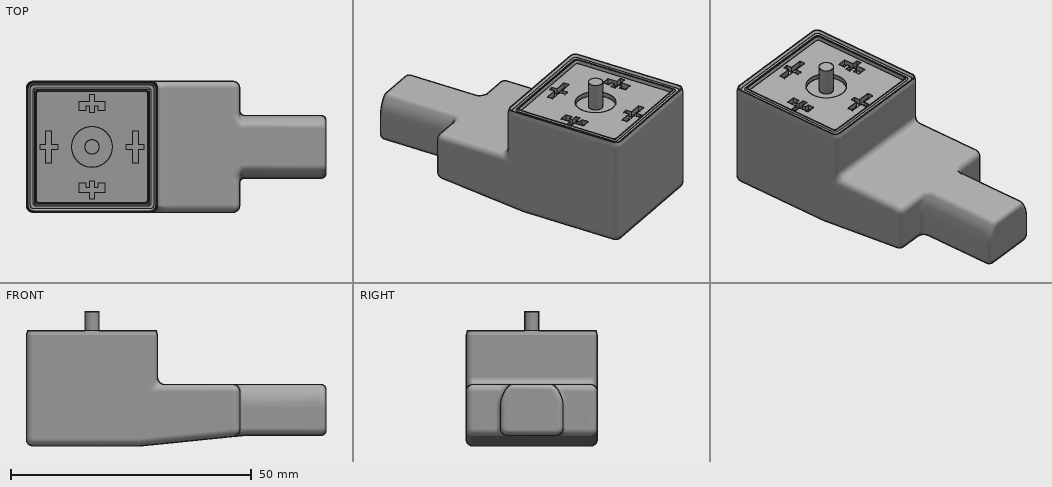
import cadquery as cq
import math

total_length = 62.3
head_size = 27.3
head_height = 24.0
pin_top = 28.0
deck_height = 12.85
body_end = 44.35
slope_start = 23.35
slope_end = 45.5
slope_rise = 2.25
edge_radius = 1.5
end_radius = 1.1
neck_radius = 0.95
half_width = head_size / 2
head_center = head_size / 2

outlet_half_width = 6.55
outlet_round_z = 8.1

rim_chamfer_width = 0.25
rim_chamfer_height = 0.95
groove_depth = 0.45
bead_drop = 0.25
groove_outer_top = 0.4
groove_outer_floor = 0.8
groove_inner_floor = 1.4
groove_inner_top = 1.75
wall_inset = 1.9
face_inset = 2.1
rim_corner_radius = 0.75
face_depth = 0.95
face_z = head_height - face_depth

pin_diameter = 3.0
recess_diameter = 8.5
recess_depth = 1.0

slot_depth = 1.25
stem_inner = 7.1
stem_outer = 10.85
stem_width = 1.0
flat_inner = 8.4
flat_thickness = 1.25
flat_length = 6.65
notched_inner = 7.55
notched_thickness = 1.95
notched_length = 5.35
notch_length = 2.5
notch_depth = 0.95


def make_side_envelope():
    """Stepped side outline with the rising underside, as wide as the head."""
    profile = [
        (0, 0),
        (slope_start, 0),
        (slope_end, slope_rise),
        (total_length, slope_rise),
        (total_length, deck_height),
        (head_size, deck_height),
        (head_size, head_height),
        (0, head_height),
    ]
    return cq.Workplane("XZ").polyline(profile).close().extrude(half_width, both=True)


def make_outlet():
    """Cable outlet: flat sides below, a round cut off flat at deck height above."""
    top_half_width = math.sqrt(outlet_half_width**2 - (deck_height - outlet_round_z) ** 2)
    arc_angle = math.atan2(deck_height - outlet_round_z, top_half_width) / 2
    mid_y = outlet_half_width * math.cos(arc_angle)
    mid_z = outlet_round_z + outlet_half_width * math.sin(arc_angle)
    return (
        cq.Workplane("YZ", origin=(head_size, 0, 0))
        .moveTo(-outlet_half_width, 0)
        .lineTo(outlet_half_width, 0)
        .lineTo(outlet_half_width, outlet_round_z)
        .threePointArc((mid_y, mid_z), (top_half_width, deck_height))
        .lineTo(-top_half_width, deck_height)
        .threePointArc((-mid_y, mid_z), (-outlet_half_width, outlet_round_z))
        .close()
        .extrude(total_length - head_size)
    )


def make_sharp_shell():
    """Head, body and outlet before any rounding."""
    plan = cq.Workplane("XY").box(body_end, head_size, head_height, centered=(False, True, False))
    return make_side_envelope().intersect(plan.union(make_outlet()))


def round_shell(sharp_shell):
    """Blend the neck corners, round the outer edges below the rim, then blend the deck step."""
    neck_edges = [
        edge
        for edge in sharp_shell.faces(">X[-2]").edges().vals()
        if abs(edge.Center().y) < half_width / 2 and edge.BoundingBox().zlen > 0.05
    ]
    shell = sharp_shell.newObject(neck_edges).fillet(neck_radius)

    corners = [e for e in shell.edges("|Z").vals() if abs(abs(e.Center().y) - half_width) < 0.005]
    deck_face = shell.faces(cq.NearestToPointSelector((body_end - 0.6, 0, deck_height)))
    deck_edges = [e for e in deck_face.edges().vals() if head_size + 0.05 < e.Center().x < total_length - 0.05]
    underside_edges = [
        e
        for e in shell.edges().vals()
        if e.BoundingBox().zmax < slope_rise + 0.005
        and e.Center().x < total_length - 0.005
        and not is_underside_bend(e)
    ]
    shell = shell.newObject(corners + deck_edges + underside_edges).fillet(edge_radius)
    shell = shell.faces(">X").edges().fillet(end_radius)
    shell = shell.edges(cq.NearestToPointSelector((head_size, 0, deck_height))).fillet(edge_radius)
    return shell


def is_underside_bend(edge):
    """True for the crosswise lines at both ends of the rising underside."""
    x = edge.Center().x
    return abs(x - slope_start) < 0.005 or abs(x - slope_end) < 0.005


def make_tapered_block(wide_inset, narrow_inset, wide_z, narrow_z):
    """Rounded square block centered on the head that narrows from wide_z to narrow_z."""
    size = head_size - 2 * wide_inset
    taper_angle = math.degrees(math.atan2(narrow_inset - wide_inset, abs(narrow_z - wide_z)))
    corner_radius = max(edge_radius - wide_inset, rim_corner_radius)
    outline = cq.Sketch().rect(size, size).vertices().fillet(corner_radius)
    return (
        cq.Workplane("XY", origin=(head_center, 0, wide_z))
        .placeSketch(outline)
        .extrude(narrow_z - wide_z, taper=taper_angle)
    )


def chamfer_rim(shell):
    """Steep chamfer around the outside of the rim."""
    chamfer_z = head_height - rim_chamfer_height
    kept_rim = make_tapered_block(0, rim_chamfer_width, chamfer_z, head_height)
    rim_stock = cq.Workplane("XY", origin=(head_center, 0, chamfer_z)).box(
        head_size, head_size, rim_chamfer_height, centered=(True, True, False)
    )
    return shell.cut(rim_stock.cut(kept_rim))


def cut_rim(shell):
    """Sealing groove around the rim, and the tapered opening down to the socket face."""
    groove_z = head_height - groove_depth
    bead_z = head_height - bead_drop
    groove_outer = make_tapered_block(groove_outer_top, groove_outer_floor, head_height, groove_z)
    bead = make_tapered_block(groove_inner_floor, groove_inner_top, groove_z, bead_z)
    opening = make_tapered_block(wall_inset, face_inset, bead_z, face_z)
    return shell.cut(groove_outer.cut(bead)).cut(opening)


def make_flat_slot():
    """Plain contact slot on the +X side of the head center."""
    flat = cq.Workplane("XY").box(flat_thickness, flat_length, slot_depth, centered=(False, True, False))
    return flat.translate((flat_inner, 0, 0)).union(make_stem_slot())


def make_stem_slot():
    """Narrow radial slot crossing each contact."""
    stem = cq.Workplane("XY").box(
        stem_outer - stem_inner, stem_width, slot_depth, centered=(False, True, False)
    )
    return stem.translate((stem_inner, 0, 0))


def make_notched_slot():
    """Contact slot notched on its inner side, on the +X side of the head center."""
    flat = cq.Workplane("XY").box(
        notched_thickness, notched_length, slot_depth, centered=(False, True, False)
    )
    notch = cq.Workplane("XY").box(notch_depth, notch_length, slot_depth, centered=(False, True, False))
    return flat.cut(notch).translate((notched_inner, 0, 0)).union(make_stem_slot())


def cut_contact_slots(shell):
    """Two plain slots along X and two notched slots along Y."""
    for slot, first_angle in ((make_flat_slot(), 0), (make_notched_slot(), 90)):
        for angle in (first_angle, first_angle + 180):
            turned = slot.rotate((0, 0, 0), (0, 0, 1), angle)
            shell = shell.cut(turned.translate((head_center, 0, face_z - slot_depth)))
    return shell


def add_pin(shell):
    """Round recess with the center pin standing on its floor."""
    floor = cq.Workplane("XY", origin=(head_center, 0, face_z - recess_depth))
    recess = floor.circle(recess_diameter / 2).extrude(recess_depth)
    pin = floor.circle(pin_diameter / 2).extrude(pin_top - face_z + recess_depth)
    return shell.cut(recess).union(pin)


shell = round_shell(make_sharp_shell())
shell = chamfer_rim(shell)
shell = cut_rim(shell)
shell = cut_contact_slots(shell)
result = add_pin(shell)